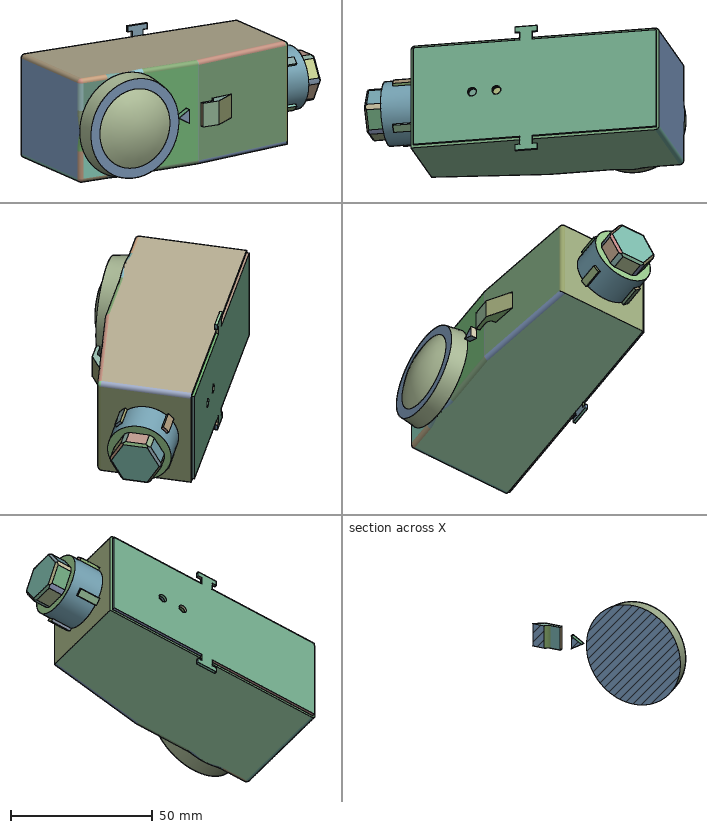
import cadquery as cq
import math


PLATE_THICKNESS = 1.0
HOUSING_LENGTH = 90.0
HOUSING_HEIGHT = 38.0
CASE_DEPTH = 40.3
FRONT_X = PLATE_THICKNESS + CASE_DEPTH
SLOPE_START_Y = 49.1
SLOPE_TOP_X = 35.0
EDGE_RADIUS = 1.5
HALF_HEIGHT = HOUSING_HEIGHT / 2
FILL_SECTIONS = 6

DIAL_RADIUS = HALF_HEIGHT
DIAL_TIP_RADIUS = 18.1
DIAL_DEPTH = 6.2
DOME_RADIUS = 14.4
OVERALL_DEPTH = 51.2
DIAL_Y = DIAL_RADIUS
RIM_X = FRONT_X + DIAL_DEPTH

HOOK_WIDTH = 8.7
HOOK_TOP_Y = 64.0
HOOK_BEND_Y = 55.4
HOOK_TIP_Y = 48.9
HOOK_ROOT_Y = 55.0
HOOK_OUTER_X = 44.6
HOOK_THICKNESS = 1.4
HOOK_INNER_RADIUS = 2.4
POINTER_TIP_Y = 39.5
POINTER_LENGTH = 4.3
POINTER_WIDTH = 5.1
POINTER_DEPTH = 2.3

PLATE_INSET = 1.0
TAB_Y = 48.1
TAB_NECK_WIDTH = 4.5
TAB_HEAD_WIDTH = 8.0
TAB_HEAD_HEIGHT = 2.1
TAB_SPAN = 46.0
SCREW_HOLE_DIAMETER = 3.1
SCREW_HOLES_Y = (58.9, 67.7)
SCREW_HOLE_DEPTH = 2.0

OVERALL_LENGTH = 108.6
GLAND_X = 17.0
GLAND_RADIUS = 11.5
GLAND_BODY_LENGTH = 12.1
RIB_LENGTH = 8.1
RIB_WIDTH = 2.8
RIB_OUTER_RADIUS = 12.5
RIB_COUNT = 4
HEX_ACROSS_FLATS = 16.7
HEX_ACROSS_CORNERS = 18.2
HEX_CHAMFER = 0.9


def slope_x(y):
    """X of the leaning front face at a given Y."""
    run = (y - SLOPE_START_Y) / (HOUSING_LENGTH - SLOPE_START_Y)
    return FRONT_X + run * (SLOPE_TOP_X - FRONT_X)


def make_screw_holes():
    """Blind holes that run through the plate into the housing."""
    return (
        cq.Workplane("YZ")
        .pushPoints([(y, 0) for y in SCREW_HOLES_Y])
        .circle(SCREW_HOLE_DIAMETER / 2)
        .extrude(SCREW_HOLE_DEPTH)
    )


def make_case():
    outline = [
        (PLATE_THICKNESS, 0),
        (FRONT_X, 0),
        (FRONT_X, SLOPE_START_Y),
        (SLOPE_TOP_X, HOUSING_LENGTH),
        (PLATE_THICKNESS, HOUSING_LENGTH),
    ]
    case = cq.Workplane("XY").polyline(outline).close().extrude(HALF_HEIGHT, both=True)
    sharp_corner = cq.selectors.BoxSelector(
        (0, HOUSING_LENGTH - 1.1, -HALF_HEIGHT - 1.1),
        (SLOPE_TOP_X, HOUSING_LENGTH + 1.1, -HALF_HEIGHT + 1.1),
    )
    rounded = case.edges("not <X").edges(cq.selectors.InverseSelector(sharp_corner))
    return rounded.fillet(EDGE_RADIUS)


def rounding_section(offset):
    """Corner sliver removed where the edge rounding ends on the dial foot.

    A ball of EDGE_RADIUS rolls on the side wall and the rim of the dial foot;
    offset is the distance from the point where that rim touches the wall.
    """
    gap = DIAL_RADIUS - math.sqrt(DIAL_RADIUS**2 - offset**2)
    drop = math.sqrt(2 * EDGE_RADIUS * gap - gap**2)
    centre_x = FRONT_X - drop
    centre_z = HALF_HEIGHT - EDGE_RADIUS
    mid_angle = math.atan2(EDGE_RADIUS - gap, drop) / 2 + math.pi / 4
    middle = (
        centre_x + EDGE_RADIUS * math.cos(mid_angle),
        centre_z + EDGE_RADIUS * math.sin(mid_angle),
    )
    return gap, drop, middle


def make_edge_fill():
    """Full edge beside the dial foot, less the rounding that dies out there."""
    reach = math.sqrt(DIAL_RADIUS**2 - (DIAL_RADIUS - EDGE_RADIUS) ** 2)
    fill = cq.Workplane("XY").box(EDGE_RADIUS, 2 * reach, EDGE_RADIUS).translate(
        (FRONT_X - EDGE_RADIUS / 2, DIAL_Y, HALF_HEIGHT - EDGE_RADIUS / 2)
    )
    wires = []
    for step in range(1, FILL_SECTIONS + 1):
        offset = reach * step / FILL_SECTIONS
        gap, drop, middle = rounding_section(offset)
        wire = (
            cq.Workplane("XZ", origin=(0, DIAL_Y + offset, 0))
            .moveTo(FRONT_X, HALF_HEIGHT)
            .lineTo(FRONT_X, HALF_HEIGHT - gap)
            .threePointArc(middle, (FRONT_X - drop, HALF_HEIGHT))
            .close()
        )
        wires.append(wire.val())
    sliver = cq.Workplane(cq.Solid.makeLoft(wires, False))
    return fill.cut(sliver).cut(sliver.mirror("XZ", (0, DIAL_Y, 0)))


def make_dial():
    profile = (
        cq.Workplane("XY")
        .moveTo(FRONT_X, 0)
        .lineTo(FRONT_X, DIAL_RADIUS)
        .lineTo(RIM_X, DIAL_TIP_RADIUS)
        .lineTo(RIM_X, DOME_RADIUS)
    )
    rise = OVERALL_DEPTH - RIM_X
    sphere = (DOME_RADIUS**2 + rise**2) / (2 * rise)
    half = math.asin(DOME_RADIUS / sphere) / 2
    middle = (OVERALL_DEPTH - sphere * (1 - math.cos(half)), sphere * math.sin(half))
    profile = profile.threePointArc(middle, (OVERALL_DEPTH, 0)).close()
    return profile.revolve(360, (0, 0, 0), (1, 0, 0)).translate((0, DIAL_Y, 0))


def make_hook():
    inner_x = HOOK_OUTER_X - HOOK_THICKNESS
    arc_x = inner_x - HOOK_INNER_RADIUS
    arc_y = HOOK_ROOT_Y - HOOK_INNER_RADIUS
    diagonal = HOOK_INNER_RADIUS * math.sqrt(0.5)
    return (
        cq.Workplane("XY")
        .moveTo(slope_x(HOOK_TOP_Y), HOOK_TOP_Y)
        .lineTo(HOOK_OUTER_X, HOOK_BEND_Y)
        .lineTo(HOOK_OUTER_X, HOOK_TIP_Y)
        .lineTo(inner_x, HOOK_TIP_Y)
        .lineTo(inner_x, arc_y)
        .threePointArc((arc_x + diagonal, arc_y + diagonal), (arc_x, HOOK_ROOT_Y))
        .lineTo(slope_x(HOOK_ROOT_Y), HOOK_ROOT_Y)
        .close()
        .extrude(HOOK_WIDTH / 2, both=True)
    )


def make_pointer():
    base_y = POINTER_TIP_Y + POINTER_LENGTH
    triangle = [
        (POINTER_TIP_Y, 0),
        (base_y, POINTER_WIDTH / 2),
        (base_y, -POINTER_WIDTH / 2),
    ]
    return cq.Workplane("YZ", origin=(FRONT_X, 0, 0)).polyline(triangle).close().extrude(POINTER_DEPTH)


def make_housing():
    housing = make_case()
    fill = make_edge_fill()
    for angle in (0, 90, 180):
        housing = housing.union(fill.rotate((0, DIAL_Y, 0), (1, DIAL_Y, 0), angle))
    housing = housing.union(make_dial()).union(make_hook()).union(make_pointer())
    return housing.cut(make_screw_holes())


def make_plate():
    length = HOUSING_LENGTH - 2 * PLATE_INSET
    height = HOUSING_HEIGHT - 2 * PLATE_INSET
    sketch = cq.Workplane("YZ")
    plate = sketch.center(HOUSING_LENGTH / 2, 0).rect(length, height).extrude(PLATE_THICKNESS)
    neck = sketch.center(TAB_Y, 0).rect(TAB_NECK_WIDTH, TAB_SPAN).extrude(PLATE_THICKNESS)
    head_z = (TAB_SPAN - TAB_HEAD_HEIGHT) / 2
    heads = (
        sketch.pushPoints([(TAB_Y, head_z), (TAB_Y, -head_z)])
        .rect(TAB_HEAD_WIDTH, TAB_HEAD_HEIGHT)
        .extrude(PLATE_THICKNESS)
    )
    return plate.union(neck).union(heads).cut(make_screw_holes())


def make_gland():
    """Gland built upright along Z, then laid along +Y."""
    body = cq.Workplane("XY").circle(GLAND_RADIUS).extrude(GLAND_BODY_LENGTH)
    rib = cq.Workplane("XY").box(RIB_OUTER_RADIUS, RIB_WIDTH, RIB_LENGTH, centered=(False, True, False))
    for index in range(RIB_COUNT):
        body = body.union(rib.rotate((0, 0, 0), (0, 0, 1), (index + 0.5) * 360 / RIB_COUNT))

    hex_length = OVERALL_LENGTH - HOUSING_LENGTH - GLAND_BODY_LENGTH
    hex_top = cq.Workplane("XY", origin=(0, 0, GLAND_BODY_LENGTH))
    nut = hex_top.polygon(6, HEX_ACROSS_FLATS / math.cos(math.pi / 6)).extrude(hex_length)
    nut = nut.faces(">Z").edges().chamfer(HEX_CHAMFER)
    nut = nut.intersect(hex_top.circle(HEX_ACROSS_CORNERS / 2).extrude(hex_length))
    gland = body.union(nut)
    return gland.rotate((0, 0, 0), (1, 0, 0), -90).translate((GLAND_X, HOUSING_LENGTH, 0))


housing = make_housing()
plate = make_plate()
gland = make_gland()

result = cq.Compound.makeCompound([body.solids().val() for body in (housing, plate, gland)])